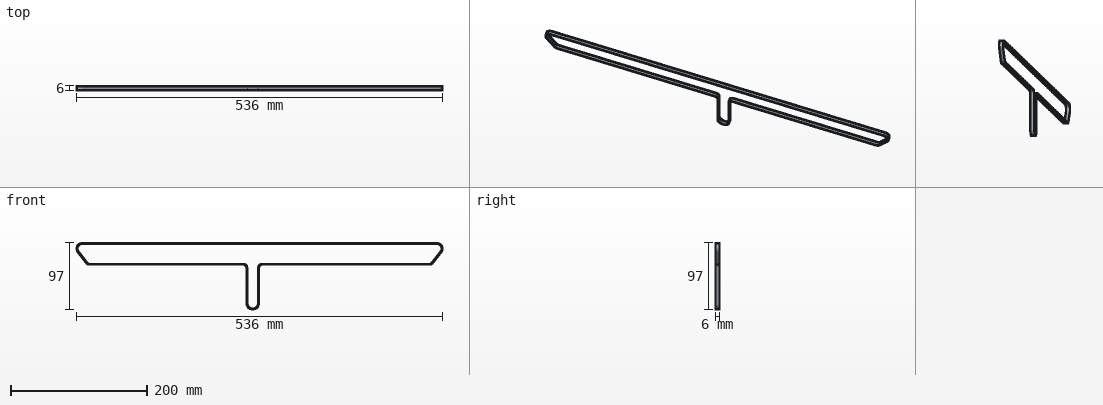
import cadquery as cq
import math

overall_length = 535.99
overall_height = 97.0
strip_width = 6.0
strip_thickness = 1.0
body_height = 31.5
side_angle = 52.25
upper_corner_radius = 8.0
lower_corner_radius = 6.0
tongue_width = 18.0
tongue_center_x = -10.0
tongue_neck_radius = 5.0
corner_tolerance = 0.01

top_z = overall_height / 2
bottom_z = -overall_height / 2
body_bottom_z = top_z - body_height

half_length = overall_length / 2
slope = math.radians(side_angle)
corner_center_x = half_length - upper_corner_radius
corner_center_z = top_z - upper_corner_radius
tangent_x = corner_center_x + upper_corner_radius * math.sin(slope)
tangent_z = corner_center_z - upper_corner_radius * math.cos(slope)
upper_sharp_x = tangent_x + (top_z - tangent_z) / math.tan(slope)
lower_sharp_x = tangent_x - (tangent_z - body_bottom_z) / math.tan(slope)

tongue_radius = tongue_width / 2
tongue_left_x = tongue_center_x - tongue_radius
tongue_right_x = tongue_center_x + tongue_radius
tongue_arc_z = bottom_z + tongue_radius


def corner_edges(solid, points):
    """Edges along Y that pass through the given (x, z) corners."""
    return solid.edges("|Y").filter(
        lambda edge: any(
            math.hypot(edge.Center().x - x, edge.Center().z - z) < corner_tolerance
            for x, z in points
        )
    )


def make_outer_plate():
    """Solid plate bounded by the outside face of the strip."""
    upper_corners = [(-upper_sharp_x, top_z), (upper_sharp_x, top_z)]
    lower_corners = [(-lower_sharp_x, body_bottom_z), (lower_sharp_x, body_bottom_z)]
    neck_corners = [(tongue_left_x, body_bottom_z), (tongue_right_x, body_bottom_z)]
    plate = (
        cq.Workplane("XZ")
        .moveTo(*upper_corners[0])
        .lineTo(*upper_corners[1])
        .lineTo(*lower_corners[1])
        .lineTo(*neck_corners[1])
        .lineTo(tongue_right_x, tongue_arc_z)
        .threePointArc((tongue_center_x, bottom_z), (tongue_left_x, tongue_arc_z))
        .lineTo(*neck_corners[0])
        .lineTo(*lower_corners[0])
        .close()
        .extrude(strip_width / 2, both=True)
    )
    rounded_corners = (
        (upper_corners, upper_corner_radius),
        (lower_corners, lower_corner_radius),
        (neck_corners, tongue_neck_radius),
    )
    for corners, radius in rounded_corners:
        plate = corner_edges(plate, corners).fillet(radius)
    return plate


def make_strip():
    """Closed band left after hollowing the plate through both flat faces."""
    return make_outer_plate().faces("|Y").shell(-strip_thickness)


result = make_strip()